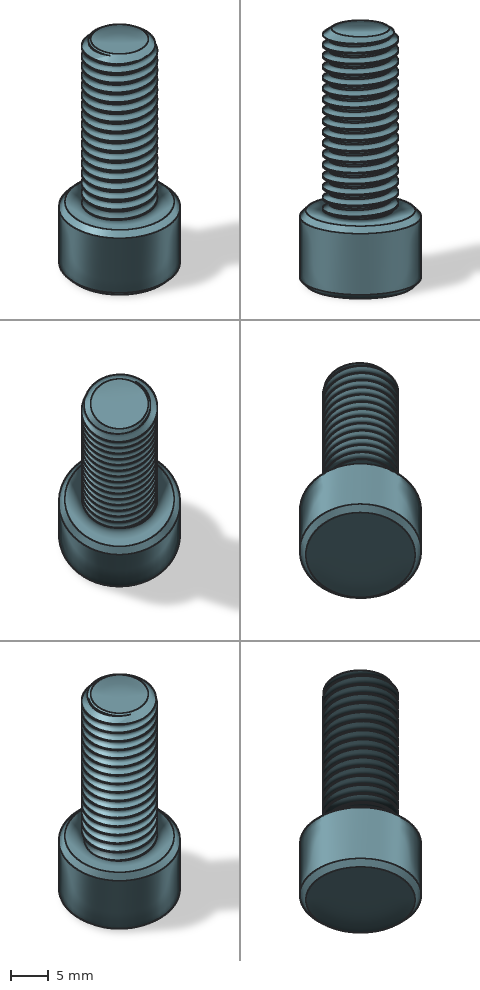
import cadquery as cq
import math

head_diameter = 16.0
head_height = 10.0
head_chamfer = 0.8

shank_length = 25.0
thread_diameter = 10.0
thread_pitch = 1.5
root_diameter = 8.16
flank_angle = 30.0
crest_flat = thread_pitch / 8
first_crest_height = 0.53

tip_diameter = 7.6
tip_angle = 35.0

thread_radius = thread_diameter / 2
root_radius = root_diameter / 2
tip_radius = tip_diameter / 2
thread_depth = thread_radius - root_radius
flank_rise = thread_depth * math.tan(math.radians(flank_angle))
total_height = head_height + shank_length

run_in_turns = 2
first_ridge_foot = head_height + first_crest_height - crest_flat / 2 - flank_rise
rod_bottom = first_ridge_foot - run_in_turns * thread_pitch
rod_turns = math.ceil((total_height - rod_bottom) / thread_pitch)

thread_profile = [
    (root_radius, 0),
    (thread_radius, flank_rise),
    (thread_radius, flank_rise + crest_flat),
    (root_radius, 2 * flank_rise + crest_flat),
    (root_radius, thread_pitch),
]


def make_head():
    head = cq.Workplane("XY").circle(head_diameter / 2).extrude(head_height)
    return head.faces("<Z or >Z").edges().chamfer(head_chamfer)


def helix_turn(radius, height):
    """One right-hand turn of a helix, starting on the +X side at this height."""
    return cq.Wire.makeHelix(thread_pitch, thread_pitch, radius, cq.Vector(0, 0, height)).Edges()[0]


def thread_turn(bottom):
    """Faces swept by the thread profile in one turn: flank, crest, flank and root."""
    helices = [helix_turn(radius, bottom + height) for radius, height in thread_profile]
    return [cq.Face.makeRuledSurface(lower, upper) for lower, upper in zip(helices, helices[1:])]


def end_cap(bottom):
    """Faces closing one end of the rod: a spiral ramp and the step between its two ends."""
    axis_start = cq.Vector(0, 0, bottom)
    axis_end = cq.Vector(0, 0, bottom + thread_pitch)
    axis = cq.Edge.makeLine(axis_start, axis_end)
    ramp = cq.Face.makeRuledSurface(axis, helix_turn(root_radius, bottom))
    outline = [cq.Vector(radius, 0, bottom + height) for radius, height in thread_profile]
    step = cq.Face.makeFromWires(cq.Wire.makePolygon([axis_start, *outline, axis_end], close=True))
    return [ramp, step]


def make_threaded_rod():
    faces = end_cap(rod_bottom) + end_cap(rod_bottom + rod_turns * thread_pitch)
    for turn in range(rod_turns):
        faces += thread_turn(rod_bottom + turn * thread_pitch)
    return cq.Workplane(obj=cq.Solid.makeSolid(cq.Shell.makeShell(faces)))


def make_trim_envelope():
    """Cylinder with a conical tip, wider than the thread, reaching from the head to the end face."""
    outer_radius = thread_radius + thread_depth
    cone_height = (outer_radius - tip_radius) * math.tan(math.radians(tip_angle))
    outline = (
        cq.Workplane("XZ")
        .moveTo(0, head_height)
        .lineTo(outer_radius, head_height)
        .lineTo(outer_radius, total_height - cone_height)
        .lineTo(tip_radius, total_height)
        .lineTo(0, total_height)
        .close()
    )
    return outline.revolve(360, (0, 0, 0), (0, 1, 0))


shank = make_trim_envelope().intersect(make_threaded_rod())
result = make_head().union(shank)